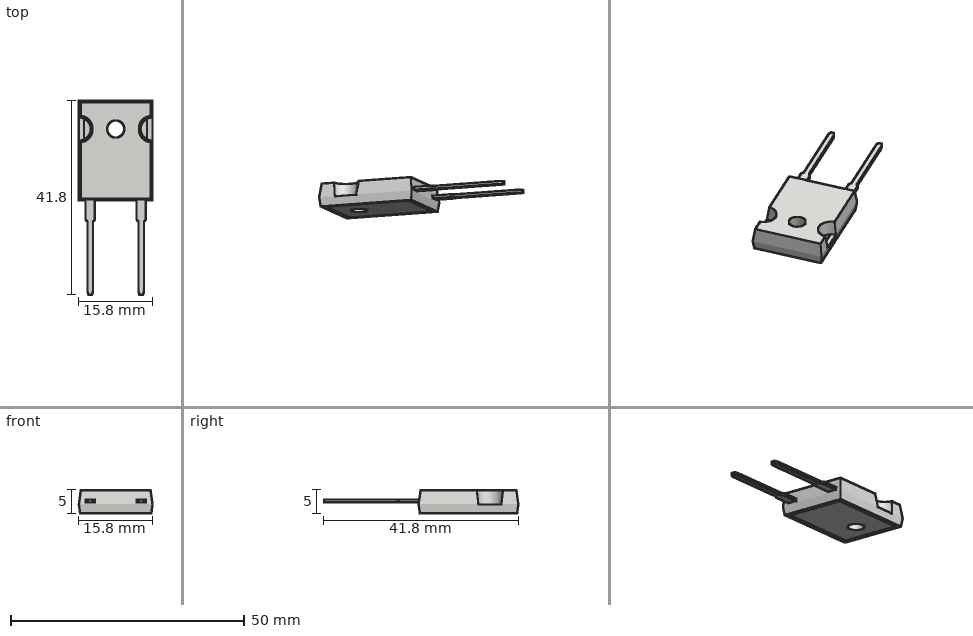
import cadquery as cq

total_length = 41.75

housing_width = 15.85
housing_length = 21.45
housing_height = 5.0
parting_height = 1.9
upper_height = housing_height - parting_height
draft_angle = 8.0
rear_y = housing_length / 2
front_y = -housing_length / 2

hole_diameter = 3.65
hole_rear_distance = 6.15
hole_y = rear_y - hole_rear_distance
notch_top_radius = 2.85
notch_floor_radius = 2.45
notch_inset = 0.13
notch_x = housing_width / 2 - notch_inset

plate_width = 13.53
plate_margin = (housing_width - plate_width) / 2
plate_length = housing_length - 2 * plate_margin

lead_pitch = 10.95
lead_thickness = 0.63
lead_bottom_z = 2.4
shoulder_width = 2.05
shank_width = 1.25
tip_width = 0.8
shoulder_length = 4.15
shoulder_taper = (shoulder_width - shank_width) / 2
tip_taper = 0.75
lead_embed = 0.85
lead_inner_y = front_y + lead_embed
lead_tip_y = rear_y - total_length
lead_positions = [-lead_pitch / 2, lead_pitch / 2]


def make_lead(x):
    """Flat lead whose inner end sits in the housing."""
    shoulder_end_y = front_y - shoulder_length
    right_side = [
        (shoulder_width / 2, lead_inner_y),
        (shoulder_width / 2, shoulder_end_y),
        (shank_width / 2, shoulder_end_y - shoulder_taper),
        (shank_width / 2, lead_tip_y + tip_taper),
        (tip_width / 2, lead_tip_y),
    ]
    left_side = [(-px, py) for px, py in reversed(right_side)]
    outline = cq.Workplane("XY").polyline(right_side + left_side).close()
    return outline.extrude(lead_thickness).translate((x, 0, lead_bottom_z))


def make_mounting_hole():
    """Cutter for the hole through the housing and the plate."""
    return cq.Workplane("XY").center(0, hole_y).circle(hole_diameter / 2).extrude(housing_height)


def make_plate_blank():
    """Plate without its hole; also the shape of its recess."""
    return cq.Workplane("XY").rect(plate_width, plate_length).extrude(parting_height)


def make_notch(x):
    """Conical cutter, wider at the top, standing on the parting plane."""
    cone = cq.Solid.makeCone(notch_floor_radius, notch_top_radius, upper_height)
    return cq.Workplane(cone.translate(cq.Vector(x, hole_y, parting_height)))


def make_housing():
    """Drafted block with its hole, notches, plate recess and lead sockets."""
    parting_plane = cq.Workplane("XY").workplane(offset=parting_height)
    upper = parting_plane.rect(housing_width, housing_length).extrude(upper_height, taper=draft_angle)
    lower = parting_plane.rect(housing_width, housing_length).extrude(-parting_height, taper=draft_angle)
    body = upper.union(lower).cut(make_mounting_hole())
    for x in [-notch_x, notch_x]:
        body = body.cut(make_notch(x))
    body = body.cut(make_plate_blank())
    for x in lead_positions:
        body = body.cut(make_lead(x))
    return body


housing = make_housing()
plate = make_plate_blank().cut(make_mounting_hole())
leads = [make_lead(x) for x in lead_positions]

result = cq.Compound.makeCompound([housing.val(), plate.val(), *[lead.val() for lead in leads]])